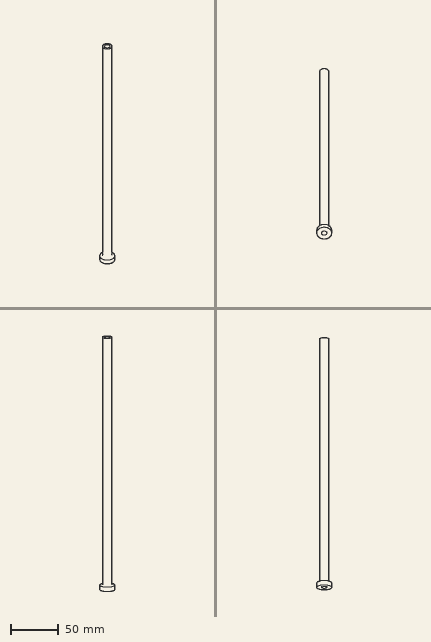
import cadquery as cq

total_length = 280.0
head_diameter = 16.0
head_height = 5.0
sleeve_diameter = 10.0
bore_diameter = 5.5
neck_fillet = 0.5

head_radius = head_diameter / 2
sleeve_radius = sleeve_diameter / 2
bore_radius = bore_diameter / 2

half_section = (
    cq.Workplane("XZ")
    .moveTo(bore_radius, 0)
    .lineTo(head_radius, 0)
    .lineTo(head_radius, head_height)
    .lineTo(sleeve_radius + neck_fillet, head_height)
    .radiusArc((sleeve_radius, head_height + neck_fillet), neck_fillet)
    .lineTo(sleeve_radius, total_length)
    .lineTo(bore_radius, total_length)
    .close()
)

result = half_section.revolve(360, (0, 0, 0), (0, 1, 0))